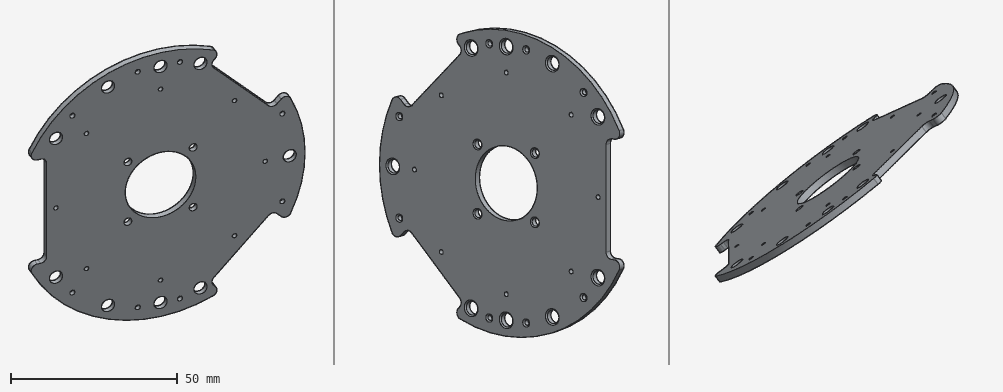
import cadquery as cq
import math

thickness = 2.3
plate_radius = 46.95
bore_diameter = 22.9

corner_radius = 2.0
straight_notch_floor = 37.0
straight_notch_half_width = 18.5
slanted_notch_floor = 38.6
slanted_notch_width = 29.0
slanted_notch_offset = 1.6
slanted_notch_angle = 45.0

rim_hole_diameter = 4.2
rim_hole_mouth = 5.1
rim_circle_radius = 42.0
rim_hole_angles = [72.0, 90.0, 144.0]

end_hole_circle_radius = 42.4
end_hole_angle = 113.7

small_hole_diameter = 1.6
small_hole_mouth = 2.5
small_circle_radius = 42.5
small_hole_angles = [21.5, 81.5, 100.0, 132.3]

mount_hole_diameter = 2.5
mount_hole_mouth = 3.3
mount_hole_pitch = 21.2

pin_hole_diameter = 1.4
pin_circle_radius = 34.0
pin_hole_count = 8


def polar_point(radius, angle):
    """Point (Y, Z) at an angle in degrees measured from +Y towards +Z."""
    return radius * math.cos(math.radians(angle)), radius * math.sin(math.radians(angle))


def mirrored_points(radius, angles):
    """Points at the given angles together with their mirror images across Z = 0."""
    return [polar_point(radius, side * angle) for angle in angles for side in (1, -1)]


def notch(floor, low_wall, high_wall, angle):
    """Block that removes the rim beyond a floor facing the given angle."""
    block = cq.Workplane("XY").box(thickness, plate_radius, high_wall - low_wall, centered=False)
    return block.translate((0, floor, low_wall)).rotate((0, 0, 0), (1, 0, 0), angle)


def drill(plate, points, diameter):
    """Cut plain through holes."""
    return plate.cut(cq.Workplane("YZ").pushPoints(points).circle(diameter / 2).extrude(thickness))


def drill_chamfered(plate, points, diameter, mouth):
    """Cut through holes with a 45 degree chamfer at the -X face."""
    depth = (mouth - diameter) / 2
    cone = cq.Solid.makeCone(mouth / 2, diameter / 2, depth, cq.Vector(0, 0, 0), cq.Vector(1, 0, 0))
    plate = drill(plate, points, diameter)
    for y, z in points:
        plate = plate.cut(cq.Workplane(cone.translate(cq.Vector(0, y, z))))
    return plate


result = cq.Workplane("YZ").circle(plate_radius).extrude(thickness)
result = result.rotate((0, 0, 0), (1, 0, 0), 180)

wall_near = slanted_notch_offset - slanted_notch_width / 2
wall_far = slanted_notch_offset + slanted_notch_width / 2
result = result.cut(notch(straight_notch_floor, -straight_notch_half_width, straight_notch_half_width, 180))
result = result.cut(notch(slanted_notch_floor, wall_near, wall_far, slanted_notch_angle))
result = result.cut(notch(slanted_notch_floor, -wall_far, -wall_near, -slanted_notch_angle))
result = result.edges("|X").fillet(corner_radius)

result = drill(result, [(0, 0)], bore_diameter)

pin_points = [polar_point(pin_circle_radius, i * 360 / pin_hole_count) for i in range(pin_hole_count)]
result = drill(result, pin_points, pin_hole_diameter)

rim_points = [(rim_circle_radius, 0)]
rim_points += mirrored_points(rim_circle_radius, rim_hole_angles)
rim_points += mirrored_points(end_hole_circle_radius, [end_hole_angle])
result = drill_chamfered(result, rim_points, rim_hole_diameter, rim_hole_mouth)

small_points = mirrored_points(small_circle_radius, small_hole_angles)
result = drill_chamfered(result, small_points, small_hole_diameter, small_hole_mouth)

half_pitch = mount_hole_pitch / 2
mount_points = [(y, z) for y in (-half_pitch, half_pitch) for z in (-half_pitch, half_pitch)]
result = drill_chamfered(result, mount_points, mount_hole_diameter, mount_hole_mouth)